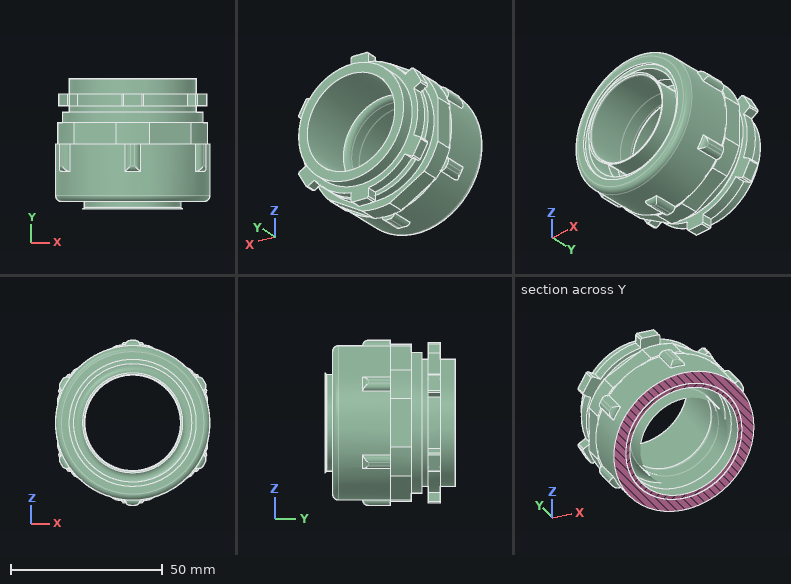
import cadquery as cq
LENGTH = 43.0
REAR_Y = LENGTH / 2
FRONT_Y = -LENGTH / 2

THREAD_DIAMETER = 42.0
BODY_BORE = 35.0
HEX_ACROSS_FLATS = 49.5
HEX_CORNER_DIAMETER = 52.0
HEX_LENGTH = 7.0
HEX_REAR_Y = REAR_Y - 14.5
HEX_FRONT_Y = HEX_REAR_Y - HEX_LENGTH
SPIGOT_DIAMETER = 43.5
SPIGOT_LENGTH = 9.0
SPIGOT_FRONT_Y = HEX_FRONT_Y - SPIGOT_LENGTH

GASKET_DIAMETER = 46.5
GASKET_THICKNESS = 3.5

LOCKNUT_REAR_Y = REAR_Y - 5.0
LOCKNUT_THICKNESS = 4.0
LOCKNUT_DIAMETER = 46.5
LUG_COUNT = 6
LUG_WIDTH = 7.0
LUG_TIP_RADIUS = 26.5
LUG_CORNER_CHAMFER = 0.5

CAP_DIAMETER = 51.0
CAP_FRONT_Y = FRONT_Y + 2.45
CAP_CORNER_RADIUS = 2.0
CAP_MOUTH_DIAMETER = 41.91
CAP_MOUTH_DEPTH = 1.0
RIB_COUNT = 6
RIB_WIDTH = 5.0
RIB_LENGTH = 9.1
RIB_TOP_RADIUS = 54.5 / 2
RIB_ROUNDING = 1.85

CHAMBER_DIAMETER = 39.0

SLEEVE_DIAMETER = 32.0
SLEEVE_BORE = 31.5
SLEEVE_REAR_Y = REAR_Y - 21.0
LIP_DIAMETER = 33.0
LIP_LENGTH = 0.5
LIP_RADIUS = (LIP_DIAMETER - SLEEVE_BORE) / 2
GROOVE_RADIUS = 2.5
GROOVE_Y = REAR_Y - 28.0
BELL_RADIUS = 2.25


def disc(diameter, front_y, rear_y):
    """Solid cylinder along Y."""
    plane = cq.Workplane("XZ", origin=(0, rear_y, 0))
    return plane.circle(diameter / 2).extrude(rear_y - front_y)


def ring(outer, inner, front_y, rear_y):
    """Hollow cylinder along Y."""
    return disc(outer, front_y, rear_y).cut(disc(inner, front_y, rear_y))


def around(shape, count):
    """Copies of a shape spaced evenly around the Y axis."""
    return [shape.rotate((0, 0, 0), (0, 1, 0), i * 360 / count) for i in range(count)]


def make_body():
    """Threaded body: hexagon with rounded corners, thread behind it and spigot in front."""
    hexagon = (
        cq.Workplane("XZ", origin=(0, HEX_REAR_Y, 0))
        .polygon(6, HEX_ACROSS_FLATS, circumscribed=True)
        .extrude(HEX_LENGTH)
        .intersect(disc(HEX_CORNER_DIAMETER, HEX_FRONT_Y, HEX_REAR_Y))
    )
    body = hexagon.union(disc(THREAD_DIAMETER, HEX_REAR_Y, REAR_Y))
    body = body.union(disc(SPIGOT_DIAMETER, SPIGOT_FRONT_Y, HEX_FRONT_Y))
    body = body.cut(disc(BODY_BORE, SPIGOT_FRONT_Y, REAR_Y))
    return body.cut(disc(CHAMBER_DIAMETER, SPIGOT_FRONT_Y, SLEEVE_REAR_Y))


def make_gasket():
    return ring(GASKET_DIAMETER, THREAD_DIAMETER, HEX_REAR_Y, HEX_REAR_Y + GASKET_THICKNESS)


def make_locknut():
    """Round nut with chamfered lugs around it."""
    front = LOCKNUT_REAR_Y - LOCKNUT_THICKNESS
    nut = disc(LOCKNUT_DIAMETER, front, LOCKNUT_REAR_Y)
    lug = (
        cq.Workplane("XZ", origin=(0, LOCKNUT_REAR_Y, 0))
        .rect(LUG_WIDTH, LUG_TIP_RADIUS, centered=(True, False))
        .extrude(LOCKNUT_THICKNESS)
        .edges("|Y and >Z")
        .chamfer(LUG_CORNER_CHAMFER)
    )
    for copy in around(lug, LUG_COUNT):
        nut = nut.union(copy)
    return nut.cut(disc(THREAD_DIAMETER, front, LOCKNUT_REAR_Y))


def make_cap():
    """Cap nut with a rounded front corner and short grip ribs."""
    cap = disc(CAP_DIAMETER, CAP_FRONT_Y, HEX_FRONT_Y).faces("<Y").edges().fillet(CAP_CORNER_RADIUS)
    rib = (
        cq.Workplane("XZ", origin=(0, HEX_FRONT_Y, 0))
        .rect(RIB_WIDTH, RIB_TOP_RADIUS, centered=(True, False))
        .extrude(RIB_LENGTH)
        .faces(">Z")
        .edges("|Y or <Y")
        .fillet(RIB_ROUNDING)
    )
    for copy in around(rib, RIB_COUNT):
        cap = cap.union(copy)
    cap = cap.cut(disc(SPIGOT_DIAMETER, SPIGOT_FRONT_Y, HEX_FRONT_Y))
    return cap.cut(disc(CAP_MOUTH_DIAMETER, CAP_FRONT_Y, HEX_FRONT_Y))


def make_seal():
    """Sealing ring in the cap mouth, resting on the spigot."""
    return ring(CAP_MOUTH_DIAMETER, CHAMBER_DIAMETER, CAP_FRONT_Y + CAP_MOUTH_DEPTH, SPIGOT_FRONT_Y)


def make_sleeve():
    """Thin sleeve with a flared front lip and a grooved flange with a belled bore at the rear."""
    chamber_r = CHAMBER_DIAMETER / 2
    outer_r = SLEEVE_DIAMETER / 2
    bore_r = SLEEVE_BORE / 2
    groove_r = outer_r + GROOVE_RADIUS
    rim_y = GROOVE_Y + (GROOVE_RADIUS**2 - (chamber_r - groove_r) ** 2) ** 0.5
    bell_mid = BELL_RADIUS / 2**0.5
    lip_mid = LIP_RADIUS / 2**0.5
    profile = (
        cq.Workplane("XY")
        .moveTo(bore_r, FRONT_Y + LIP_RADIUS)
        .threePointArc(
            (bore_r + LIP_RADIUS - lip_mid, FRONT_Y + LIP_RADIUS - lip_mid),
            (LIP_DIAMETER / 2, FRONT_Y),
        )
        .lineTo(outer_r, FRONT_Y + LIP_LENGTH)
        .lineTo(outer_r, GROOVE_Y)
        .threePointArc((groove_r, GROOVE_Y + GROOVE_RADIUS), (chamber_r, rim_y))
        .lineTo(chamber_r, SLEEVE_REAR_Y)
        .lineTo(bore_r + BELL_RADIUS, SLEEVE_REAR_Y)
        .threePointArc(
            (bore_r + BELL_RADIUS - bell_mid, SLEEVE_REAR_Y - BELL_RADIUS + bell_mid),
            (bore_r, SLEEVE_REAR_Y - BELL_RADIUS),
        )
        .close()
    )
    return profile.revolve(360, (0, 0, 0), (0, 1, 0))


body = make_body()
gasket = make_gasket()
locknut = make_locknut()
cap = make_cap()
seal = make_seal()
sleeve = make_sleeve()

result = cq.Compound.makeCompound(
    [body.val(), gasket.val(), locknut.val(), cap.val(), seal.val(), sleeve.val()]
)